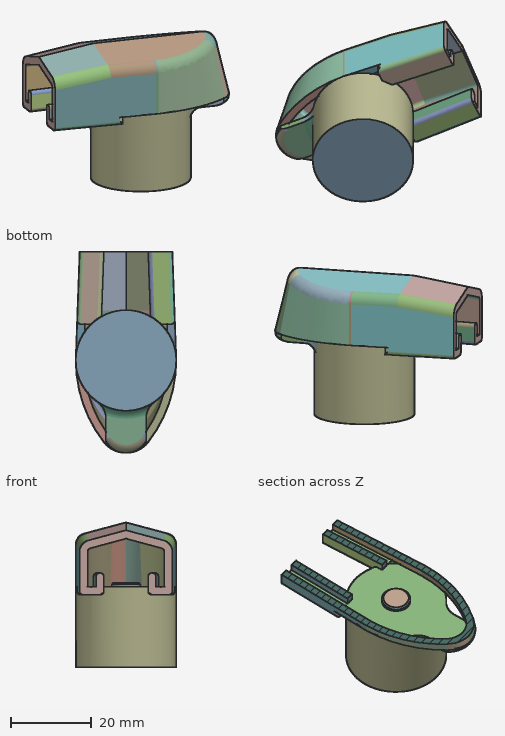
import cadquery as cq
import math

post_radius = 12.5
post_height = 20.0
button_radius = 3.55
button_height = 1.0
button_chamfer = 0.4

front_y = -27.0
front_half_width = 11.55
flat_length = 0.45
tip_y = 23.0
tip_radius = 7.0
tip_draft = 14.0
wall = 2.0

ridge_height = 36.1
roof_slope = 15.0
nose_y = -12.65
nose_dip = 7.8
eave_radius = 3.0
roof_reach = 30.0
block_size = 4 * roof_reach

rail_end_y = -9.0
rail_bottom = post_height - wall
rail_width = 6.05
lip_thickness = 1.95
lip_top = 23.5
rail_radius = 1.0

tongue_half_width = 5.0
tongue_side_end_y = 20.1
tongue_edge_radius = 2.0
tongue_root_radius = 5.0
tongue_under_radius = 2.0

taper = (post_radius - front_half_width) / (-flat_length - front_y)


def outline(height, inset, rear_y):
    """Closed hood outline: tapered front, two long side arcs and a round tip.

    It runs one wall thickness past the front end, which is cut square later.
    """
    half_width = post_radius - inset
    tip = tip_radius - inset
    tip_center_y = rear_y - inset - tip
    side = (half_width**2 + tip_center_y**2 - tip**2) / (2 * (half_width - tip))
    join_angle = math.atan2(tip_center_y, side - half_width)
    middle_angle = join_angle / 2

    def on_side(angle):
        return half_width - side + side * math.cos(angle), side * math.sin(angle)

    join_x, join_y = on_side(join_angle)
    middle_x, middle_y = on_side(middle_angle)
    end_y = front_y - wall
    end_x = half_width - taper * (-flat_length - end_y)
    return (
        cq.Workplane("XY", origin=(0, 0, height))
        .moveTo(end_x, end_y)
        .lineTo(half_width, -flat_length)
        .lineTo(half_width, 0)
        .threePointArc((middle_x, middle_y), (join_x, join_y))
        .threePointArc((0, rear_y - inset), (-join_x, join_y))
        .threePointArc((-middle_x, middle_y), (-half_width, 0))
        .lineTo(-half_width, -flat_length)
        .lineTo(-end_x, end_y)
        .close()
        .wire()
        .val()
    )


def roof_block(dip, lowered):
    """Long gabled block whose ridge passes over the nose point, dipped forward."""
    drop = roof_reach * math.tan(math.radians(roof_slope))
    reach = 2 * roof_reach
    gable = [
        (0, 0),
        (roof_reach, -drop),
        (roof_reach, -reach),
        (-roof_reach, -reach),
        (-roof_reach, -drop),
    ]
    return (
        cq.Workplane("XZ", origin=(0, reach, 0))
        .polyline(gable)
        .close()
        .extrude(2 * reach)
        .translate((0, 0, -lowered / math.cos(math.radians(roof_slope))))
        .rotate((0, 0, 0), (1, 0, 0), dip)
        .translate((0, nose_y, ridge_height))
    )


def is_eave(edge):
    """Edge between wall and roof: above the rim, off the ridge and not running across the hood."""
    box = edge.BoundingBox()
    above_rim = box.zmin > post_height + wall
    off_ridge = edge.Center().x > flat_length
    runs_lengthwise = box.ylen > flat_length / 2
    return above_rim and off_ridge and runs_lengthwise


def hood_volume(inset):
    """Drafted body under the gabled roof with rounded eaves, moved inward by inset."""
    lean = (ridge_height - post_height) * math.tan(math.radians(tip_draft))
    lower = outline(post_height, inset, tip_y)
    upper = outline(ridge_height, inset, tip_y - lean)
    body = cq.Workplane(cq.Solid.makeLoft([lower, upper], True))
    body = body.intersect(roof_block(0, inset)).intersect(roof_block(nose_dip, inset))
    right_side = cq.Workplane("XY").box(block_size, block_size, block_size, centered=(False, True, True))
    half = body.intersect(right_side)
    half = half.edges().filter(is_eave).fillet(eave_radius - inset)
    return half.union(half.mirror("YZ"))


def rail():
    """Right-hand hooked rail, running parallel to the tapered wall."""
    length = rail_end_y - front_y
    outer_x = front_half_width
    inner_x = outer_x - rail_width
    profile = (
        cq.Workplane("XZ", origin=(0, front_y, 0))
        .moveTo(outer_x, rail_bottom)
        .lineTo(outer_x, post_height)
        .lineTo(inner_x + lip_thickness, post_height)
        .lineTo(inner_x + lip_thickness, lip_top - lip_thickness / 2)
        .threePointArc((inner_x + lip_thickness / 2, lip_top), (inner_x, lip_top - lip_thickness / 2))
        .lineTo(inner_x, rail_bottom + rail_radius)
        .radiusArc((inner_x + rail_radius, rail_bottom), -rail_radius)
        .close()
        .wire()
        .val()
    )
    run = cq.Vector(taper * length, length, 0)
    bar = cq.Workplane(cq.Solid.extrudeLinear(profile, [], run))
    rounded = bar.faces(">Y").edges(">X").add(bar.faces("<Z").edges(">X"))
    return rounded.fillet(rail_radius)


def tongue():
    """Floor strip behind the post, flared and filleted into it, rounded under the tip."""
    reach = post_radius + tongue_root_radius
    root_x = tongue_half_width + tongue_root_radius
    root_y = math.sqrt(reach**2 - root_x**2)
    touch_x = root_x * post_radius / reach
    touch_y = root_y * post_radius / reach
    root_bottom = rail_bottom - tongue_under_radius
    plan = (
        cq.Workplane("XY", origin=(0, 0, root_bottom))
        .lineTo(touch_x, touch_y)
        .radiusArc((tongue_half_width, root_y), tongue_root_radius)
        .lineTo(tongue_half_width, tongue_side_end_y)
        .threePointArc((0, tip_y), (-tongue_half_width, tongue_side_end_y))
        .lineTo(-tongue_half_width, root_y)
        .radiusArc((-touch_x, touch_y), tongue_root_radius)
        .close()
        .extrude(post_height - root_bottom)
    )
    plate_rise = cq.Vector(0, 0, 2 * wall)
    plate = cq.Workplane(cq.Solid.extrudeLinear(outline(rail_bottom, 0, tip_y), [], plate_rise))
    plate = plate.faces("<Z").edges().fillet(tongue_edge_radius)
    bend = tongue_under_radius * math.sqrt(0.5)
    ring = (
        cq.Workplane("XZ")
        .moveTo(0, root_bottom)
        .lineTo(post_radius, root_bottom)
        .threePointArc(
            (post_radius + tongue_under_radius - bend, root_bottom + bend),
            (post_radius + tongue_under_radius, rail_bottom),
        )
        .lineTo(0, rail_bottom)
        .close()
        .revolve(360, (0, 0, 0), (0, 1, 0))
    )
    return plan.intersect(plate.union(ring))


def post():
    """Round column with a low chamfered button on top."""
    button = (
        cq.Workplane("XY", origin=(0, 0, post_height))
        .circle(button_radius)
        .extrude(button_height)
        .faces(">Z")
        .chamfer(button_chamfer)
    )
    return cq.Workplane("XY").circle(post_radius).extrude(post_height).union(button)


def hood():
    """Hollow hood, open underneath and cut square at the front."""
    front_cut = cq.Workplane("XY", origin=(0, front_y, 0)).box(
        block_size, block_size, block_size, centered=(True, False, True)
    )
    return hood_volume(0).cut(hood_volume(wall)).intersect(front_cut)


right_rail = rail()
result = hood().union(post()).union(tongue()).union(right_rail).union(right_rail.mirror("YZ"))